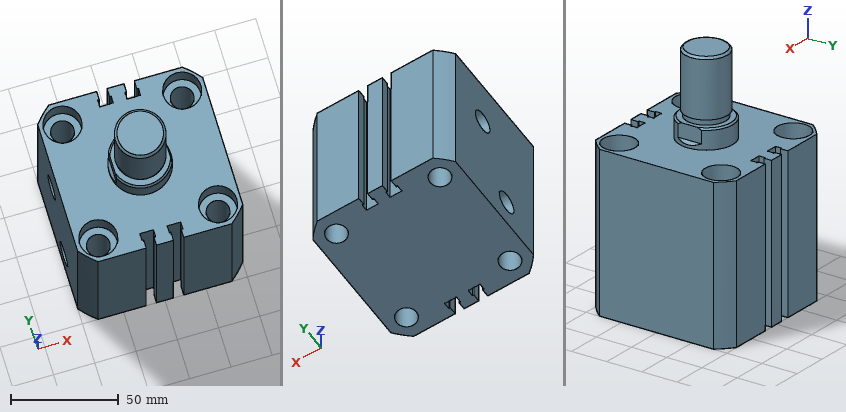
import cadquery as cq

HOUSING_WIDTH = 80.0
HOUSING_HEIGHT = 85.0
CORNER_RADIUS = 51.5

MOUNT_PITCH = 58.0
MOUNT_DIAMETER = 11.0
COUNTERBORE_DIAMETER = 18.1
COUNTERBORE_DEPTH = 11.0

SLOT_PITCH = 13.2
SLOT_MOUTH_WIDTH = 5.0
SLOT_MOUTH_DEPTH = 4.2
SLOT_INNER_WIDTH = 6.5
SLOT_DEPTH = 7.6

PORT_OFFSET = 10.0
PORT_MOUTH_DIAMETER = 12.0
PORT_FLOOR_DIAMETER = 10.9
PORT_DEPTH = 16.0
UPPER_PORT_HEIGHT = 57.0
LOWER_PORT_HEIGHT = 16.0

TOTAL_HEIGHT = 131.0
COLLAR_DIAMETER = 30.0
COLLAR_CHAMFER = 0.9
STUD_DIAMETER = 24.0
STUD_LENGTH = 32.0
STUD_CHAMFER = 1.2
NECK_DIAMETER = 22.1
NECK_LENGTH = 3.0
FLATS_WIDTH = 26.9
FLATS_LENGTH = 7.9

COLLAR_LENGTH = TOTAL_HEIGHT - HOUSING_HEIGHT - STUD_LENGTH - NECK_LENGTH


def housing_block():
    """Square block with its vertical corners turned to a common radius."""
    block = cq.Workplane("XY").box(
        HOUSING_WIDTH, HOUSING_WIDTH, HOUSING_HEIGHT, centered=(True, True, False)
    )
    turned = cq.Workplane("XY").circle(CORNER_RADIUS).extrude(HOUSING_HEIGHT)
    return block.intersect(turned)


def sensor_slots():
    """T-shaped slots running the full height of the front and back faces."""
    slots = cq.Workplane("XY")
    face = HOUSING_WIDTH / 2
    inner_length = SLOT_DEPTH - SLOT_MOUTH_DEPTH
    for side in (-1, 1):
        inner_y = side * (face - SLOT_MOUTH_DEPTH - inner_length / 2)
        mouth_y = side * (face - SLOT_MOUTH_DEPTH / 2)
        for x in (-SLOT_PITCH / 2, SLOT_PITCH / 2):
            mouth = cq.Workplane("XY").center(x, mouth_y).rect(SLOT_MOUTH_WIDTH, SLOT_MOUTH_DEPTH)
            inner = cq.Workplane("XY").center(x, inner_y).rect(SLOT_INNER_WIDTH, inner_length)
            slots = slots.add(mouth.extrude(HOUSING_HEIGHT)).add(inner.extrude(HOUSING_HEIGHT))
    return slots.combine()


def air_port(y, z):
    """Blind port entering the -X face, tapering evenly down to its floor."""
    return (
        cq.Workplane("YZ", origin=(-HOUSING_WIDTH / 2, y, z))
        .circle(PORT_MOUTH_DIAMETER / 2)
        .workplane(offset=PORT_DEPTH)
        .circle(PORT_FLOOR_DIAMETER / 2)
        .loft(ruled=True)
    )


def make_housing():
    housing = housing_block().cut(sensor_slots())
    housing = (
        housing.faces(">Z").workplane(origin=(0, 0, HOUSING_HEIGHT))
        .rect(MOUNT_PITCH, MOUNT_PITCH, forConstruction=True)
        .vertices()
        .cboreHole(MOUNT_DIAMETER, COUNTERBORE_DIAMETER, COUNTERBORE_DEPTH)
    )
    housing = housing.cut(air_port(PORT_OFFSET, UPPER_PORT_HEIGHT))
    return housing.cut(air_port(-PORT_OFFSET, LOWER_PORT_HEIGHT))


def wrench_flats():
    """Material removed beside the two flats, each ending in a 45 degree run-out."""
    collar_top = HOUSING_HEIGHT + COLLAR_LENGTH
    flat_bottom = collar_top - FLATS_LENGTH
    inner = FLATS_WIDTH / 2
    outer = COLLAR_DIAMETER / 2
    runout = outer - inner
    one_side = (
        cq.Workplane("XZ")
        .polyline([
            (inner, collar_top),
            (inner, flat_bottom),
            (outer, flat_bottom - runout),
            (outer, collar_top),
        ])
        .close()
        .extrude(outer, both=True)
    )
    return one_side.union(one_side.mirror("YZ"))


def make_rod():
    collar = (
        cq.Workplane("XY", origin=(0, 0, HOUSING_HEIGHT))
        .circle(COLLAR_DIAMETER / 2)
        .extrude(COLLAR_LENGTH)
        .faces(">Z")
        .chamfer(COLLAR_CHAMFER)
        .cut(wrench_flats())
    )
    neck_bottom = HOUSING_HEIGHT + COLLAR_LENGTH
    neck = (
        cq.Workplane("XY", origin=(0, 0, neck_bottom))
        .circle(NECK_DIAMETER / 2)
        .extrude(NECK_LENGTH)
    )
    stud = (
        cq.Workplane("XY", origin=(0, 0, neck_bottom + NECK_LENGTH))
        .circle(STUD_DIAMETER / 2)
        .extrude(STUD_LENGTH)
        .faces(">Z")
        .chamfer(STUD_CHAMFER)
    )
    return collar.union(neck).union(stud)


housing = make_housing()
rod = make_rod()

result = cq.Compound.makeCompound([housing.val(), rod.val()])